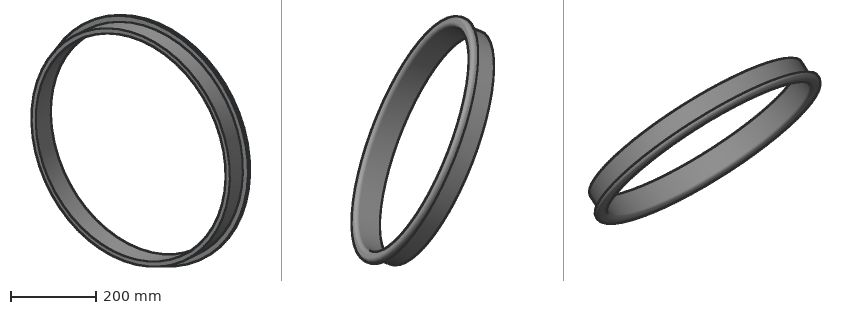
import cadquery as cq

flange_diameter = 616.0
sleeve_diameter = 586.0
bore_diameter = 560.0
total_length = 65.0
flange_thickness = 15.0
rim_fillet_radius = 10.0

sleeve_length = total_length - flange_thickness


def disc(diameter, start_y, length):
    """Solid disc about the Y axis, from start_y toward +Y."""
    plane = cq.Plane(origin=(0, start_y, 0), xDir=(0, 0, 1), normal=(0, 1, 0))
    return cq.Workplane(plane).circle(diameter / 2).extrude(length)


def stepped_ring():
    """Wide flange at the +Y end, narrower sleeve down to Y = 0, plain bore through both."""
    sleeve = disc(sleeve_diameter, 0, sleeve_length)
    flange = disc(flange_diameter, sleeve_length, flange_thickness)
    bore = disc(bore_diameter, 0, total_length)
    return sleeve.union(flange).cut(bore)


def round_flange_rims(ring):
    """Round the outer rim and the bore mouth of the flange's +Y face."""
    return ring.faces(">Y").edges().fillet(rim_fillet_radius)


result = round_flange_rims(stepped_ring())